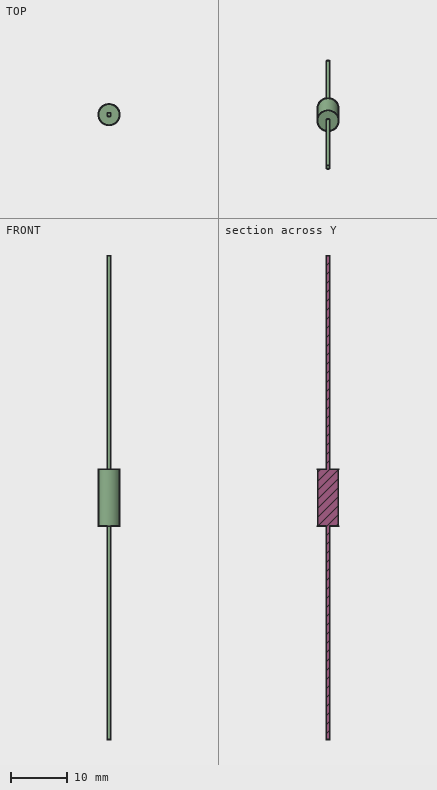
import cadquery as cq

body_diameter = 3.81
body_length = 10.16
lead_diameter = 0.7112
lead_length = 38.1

body_radius = body_diameter / 2
lead_radius = lead_diameter / 2
body_end = body_length / 2
lead_tip = body_end + lead_length

half_section = (
    cq.Workplane("XZ")
    .moveTo(0, -lead_tip)
    .lineTo(-lead_radius, -lead_tip)
    .lineTo(-lead_radius, -body_end)
    .lineTo(-body_radius, -body_end)
    .lineTo(-body_radius, body_end)
    .lineTo(-lead_radius, body_end)
    .lineTo(-lead_radius, lead_tip)
    .lineTo(0, lead_tip)
    .close()
)

result = half_section.revolve(360, (0, 0, 0), (0, 1, 0))